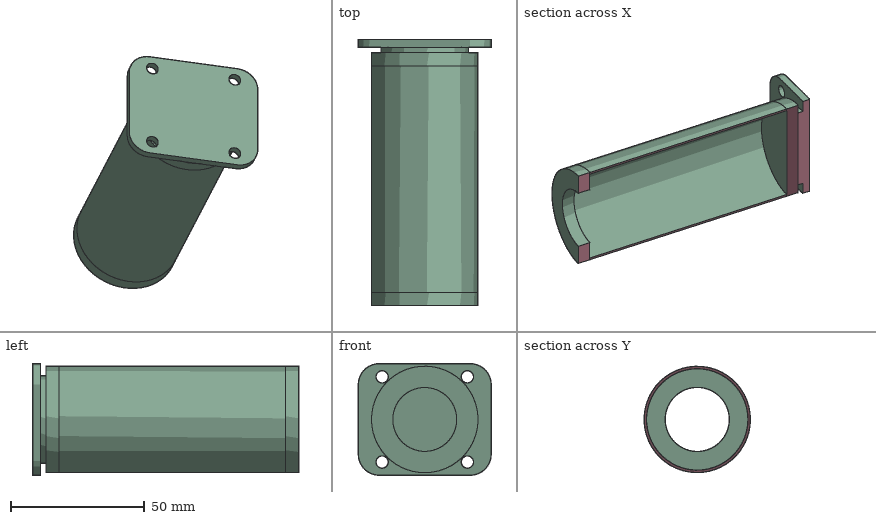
import cadquery as cq

total_length = 100.0
body_diameter = 40.0

flange_width = 50.0
flange_height = 42.0
flange_thickness = 3.0
flange_corner_radius = 8.0
bolt_hole_diameter = 4.5
bolt_spacing = 32.0
neck_diameter = 33.0
neck_length = 2.0

cap_thickness = 5.0
opening_diameter = 24.0
tube_wall = 1.0
tube_bore_diameter = body_diameter - 2 * tube_wall

tube_front = cap_thickness
neck_front = total_length - flange_thickness - neck_length
rear_cap_front = neck_front - cap_thickness
flange_front = total_length - flange_thickness
tube_length = rear_cap_front - tube_front


def plane_at(y):
    """Sketch plane across the axis at the given Y, extruding toward +Y."""
    return cq.Workplane(cq.Plane(origin=(0, y, 0), xDir=(-1, 0, 0), normal=(0, 1, 0)))


def disc(y, diameter, length):
    """Solid cylinder on the axis, starting at the given Y."""
    return plane_at(y).circle(diameter / 2).extrude(length)


def ring(y, diameter, bore, length):
    """Cylinder on the axis with a concentric through bore."""
    return plane_at(y).circle(diameter / 2).circle(bore / 2).extrude(length)


def make_flange():
    """Plate with rounded corners and four bolt holes, joined to its neck."""
    plate = (
        plane_at(flange_front)
        .rect(flange_width, flange_height)
        .extrude(flange_thickness)
        .edges("|Y")
        .fillet(flange_corner_radius)
    )
    bolt_holes = (
        plane_at(flange_front)
        .rect(bolt_spacing, bolt_spacing, forConstruction=True)
        .vertices()
        .circle(bolt_hole_diameter / 2)
        .extrude(flange_thickness)
    )
    neck = disc(neck_front, neck_diameter, neck_length)
    return plate.cut(bolt_holes).union(neck)


front_cap = ring(0, body_diameter, opening_diameter, cap_thickness)
tube = ring(tube_front, body_diameter, tube_bore_diameter, tube_length)
rear_cap = disc(rear_cap_front, body_diameter, cap_thickness)
flange = make_flange()

result = cq.Compound.makeCompound([front_cap.val(), tube.val(), rear_cap.val(), flange.val()])